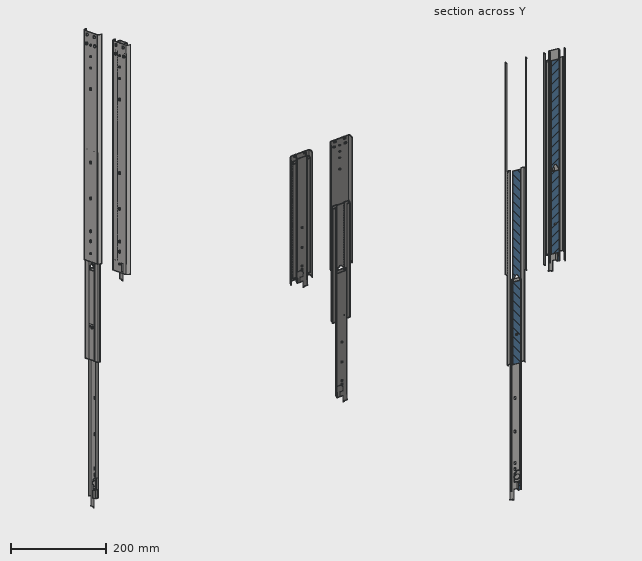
import cadquery as cq

slide_spacing = 91.0
middle_closed_z = 23.0
middle_extended_z = -219.0
inner_closed_z = 3.0
inner_extended_z = -525.0

sheet = 1.3
front_y = -6.0
rail_back_y = 3.7
outer_length = 510.0
outer_half_width = 24.9
outer_web_half_width = 20.8
bow_y = 2.0

small_hole_diameter = 4.0
corner_hole_diameter = 6.0
slot_height = 6.0
outer_round_hole_heights = [18.0, 430.0, 456.0, 481.0]
outer_slot_heights = [46.0, 68.0, 141.0, 220.0, 384.0]
top_hole_height = 502.0
top_hole_spacing = 22.0
lower_corner_hole_height = 482.0
lower_corner_hole_spacing = 25.0

middle_length = 466.0
middle_half_width = 20.3
middle_front_y = -3.7
lip_half_gap = 13.0
band_half_width = 8.0
band_depth = 1.0

window_bottom_z = 199.0
window_shoulder_z = 203.0
window_top_z = 214.0
window_half_width = 7.0
window_top_half_width = 1.6
ridge_bottom_z = 73.0
ridge_height = 6.0
band_hole_z = 71.0

inner_length = 507.0
inner_half_width = 12.0
inner_sheet = 1.0
inner_back_y = 6.0
inner_front_y = -1.0
inner_slot_heights = [49.0, 63.0, 139.0, 219.0]

tongue_length = 23.0
tongue_right_x = -2.0
foot_left_x = -13.0
foot_height = 1.0
prong_left_x = -5.0
prong_length = 2.0
latch_left_x = 4.0
latch_right_x = 10.0
latch_front_y = -4.0
latch_height = 18.0
lever_left_x = -2.0
lever_shoulder_x = 4.0
lever_shoulder_z = 38.0
lever_top_z = 45.0
lever_thickness = 2.0
pivot_diameter = 13.0
pivot_x = 3.0
pivot_z = 31.0
pivot_thickness = 3.0


def box(x_range, y_range, z_range):
    """Box between the given pairs of limits."""
    x0, x1 = x_range
    y0, y1 = y_range
    z0, z1 = z_range
    return cq.Workplane("XY").box(x1 - x0, y1 - y0, z1 - z0, centered=False).translate((x0, y0, z0))


def holes_along_y(holes):
    """Round tools that cut through a whole rail from back to front, one per (x, z, diameter)."""
    tools = cq.Workplane("XZ", origin=(0, inner_back_y, 0))
    for x, z, diameter in holes:
        tools = tools.moveTo(x, z).circle(diameter / 2).extrude(inner_back_y - front_y)
    return tools


def slots_along_y(heights):
    """Upright slot tools that cut through a whole rail on its centre line, one per height."""
    centers = [(0, z) for z in heights]
    tools = cq.Workplane("XZ", origin=(0, inner_back_y, 0)).pushPoints(centers)
    return tools.slot2D(slot_height, small_hole_diameter, angle=90).extrude(inner_back_y - front_y)


def make_outer_rail():
    bow = outer_half_width - outer_web_half_width
    bow_run = bow_y - front_y
    radius = (bow**2 + bow_run**2) / (2 * bow)
    center_x = outer_half_width - radius

    def bow_x(arc_radius, y):
        return center_x + (arc_radius**2 - (y - bow_y) ** 2) ** 0.5

    inside_radius = radius - sheet
    inside_y = front_y + sheet
    inside_corner_x = bow_x(inside_radius, inside_y)
    inside_back_x = bow_x(inside_radius, rail_back_y)
    back_x = bow_x(radius, rail_back_y)
    inside_bow_x = outer_half_width - sheet
    rail = (
        cq.Workplane("XY")
        .moveTo(-outer_web_half_width, front_y)
        .lineTo(outer_web_half_width, front_y)
        .threePointArc((outer_half_width, bow_y), (back_x, rail_back_y))
        .lineTo(inside_back_x, rail_back_y)
        .threePointArc((inside_bow_x, bow_y), (inside_corner_x, inside_y))
        .lineTo(-inside_corner_x, inside_y)
        .threePointArc((-inside_bow_x, bow_y), (-inside_back_x, rail_back_y))
        .lineTo(-back_x, rail_back_y)
        .threePointArc((-outer_half_width, bow_y), (-outer_web_half_width, front_y))
        .close()
        .extrude(outer_length)
    )

    holes = [(0, z, small_hole_diameter) for z in outer_round_hole_heights]
    for side in (-1, 1):
        holes.append((side * top_hole_spacing / 2, top_hole_height, corner_hole_diameter))
        holes.append((side * lower_corner_hole_spacing / 2, lower_corner_hole_height, corner_hole_diameter))
    return rail.cut(holes_along_y(holes)).cut(slots_along_y(outer_slot_heights))


def make_middle_rail():
    web_back_y = middle_front_y + sheet
    band_front_y = middle_front_y + band_depth
    band_back_y = band_front_y + sheet
    band_back_half_width = band_half_width + sheet
    lip_front_y = rail_back_y - sheet
    inside_half_width = middle_half_width - sheet
    rail = (
        cq.Workplane("XY")
        .moveTo(-band_half_width, band_front_y)
        .lineTo(band_half_width, band_front_y)
        .lineTo(band_half_width, middle_front_y)
        .lineTo(middle_half_width, middle_front_y)
        .lineTo(middle_half_width, rail_back_y)
        .lineTo(lip_half_gap, rail_back_y)
        .lineTo(lip_half_gap, lip_front_y)
        .lineTo(inside_half_width, lip_front_y)
        .lineTo(inside_half_width, web_back_y)
        .lineTo(band_back_half_width, web_back_y)
        .lineTo(band_back_half_width, band_back_y)
        .lineTo(-band_back_half_width, band_back_y)
        .lineTo(-band_back_half_width, web_back_y)
        .lineTo(-inside_half_width, web_back_y)
        .lineTo(-inside_half_width, lip_front_y)
        .lineTo(-lip_half_gap, lip_front_y)
        .lineTo(-lip_half_gap, rail_back_y)
        .lineTo(-middle_half_width, rail_back_y)
        .lineTo(-middle_half_width, middle_front_y)
        .lineTo(-band_half_width, middle_front_y)
        .close()
        .extrude(middle_length)
    )

    window = (
        cq.Workplane("XZ", origin=(0, rail_back_y, 0))
        .moveTo(-window_half_width, window_bottom_z)
        .lineTo(window_half_width, window_bottom_z)
        .lineTo(window_half_width, window_shoulder_z)
        .lineTo(window_top_half_width, window_top_z)
        .lineTo(-window_top_half_width, window_top_z)
        .lineTo(-window_half_width, window_shoulder_z)
        .close()
        .extrude(rail_back_y - middle_front_y)
    )

    ridge = (
        cq.Workplane("YZ", origin=(-band_half_width, 0, 0))
        .moveTo(band_front_y, ridge_bottom_z)
        .lineTo(middle_front_y, ridge_bottom_z + ridge_height / 2)
        .lineTo(band_front_y, ridge_bottom_z + ridge_height)
        .close()
        .extrude(2 * band_half_width)
    )
    return rail.cut(window).union(ridge).cut(holes_along_y([(0, band_hole_z, small_hole_diameter)]))


def make_inner_rail():
    web_front_y = inner_back_y - inner_sheet
    web_depth = (web_front_y, inner_back_y)
    flange_depth = (inner_front_y, inner_back_y)
    rail = box((-inner_half_width, inner_half_width), web_depth, (0, inner_length))
    left_flange = box((-inner_half_width, -inner_half_width + inner_sheet), flange_depth, (0, inner_length))
    right_flange = box((inner_half_width - inner_sheet, inner_half_width), flange_depth, (0, inner_length))
    rail = rail.union(left_flange).union(right_flange).cut(slots_along_y(inner_slot_heights))

    foot_bottom_z = -tongue_length
    tongue = box((-inner_half_width, tongue_right_x), web_depth, (foot_bottom_z, 0))
    foot = box((foot_left_x, tongue_right_x), web_depth, (foot_bottom_z, foot_bottom_z + foot_height))
    prong = box((prong_left_x, tongue_right_x), web_depth, (foot_bottom_z - prong_length, foot_bottom_z))
    tongue = tongue.union(foot).union(prong)

    grip = box((latch_left_x, latch_right_x), (latch_front_y, inner_back_y), (0, latch_height))
    lever = (
        cq.Workplane("XZ", origin=(0, web_front_y, 0))
        .moveTo(lever_left_x, latch_height)
        .lineTo(inner_half_width, latch_height)
        .lineTo(inner_half_width, lever_top_z)
        .lineTo(lever_shoulder_x, lever_top_z)
        .lineTo(lever_left_x, lever_shoulder_z)
        .close()
        .extrude(lever_thickness)
    )
    pivot = (
        cq.Workplane("XZ", origin=(pivot_x, web_front_y, pivot_z))
        .circle(pivot_diameter / 2)
        .extrude(pivot_thickness)
    )
    return rail.union(tongue).union(grip).union(lever).union(pivot)


slide_positions = [
    (-slide_spacing / 2, middle_extended_z, inner_extended_z),
    (slide_spacing / 2, middle_closed_z, inner_closed_z),
]
bodies = []
for slide_x, middle_z, inner_z in slide_positions:
    outer_rail = make_outer_rail().translate((slide_x, 0, 0))
    middle_rail = make_middle_rail().translate((slide_x, 0, middle_z))
    inner_rail = make_inner_rail().translate((slide_x, 0, inner_z))
    bodies += [rail.solids().val() for rail in (outer_rail, middle_rail, inner_rail)]

result = cq.Compound.makeCompound(bodies)